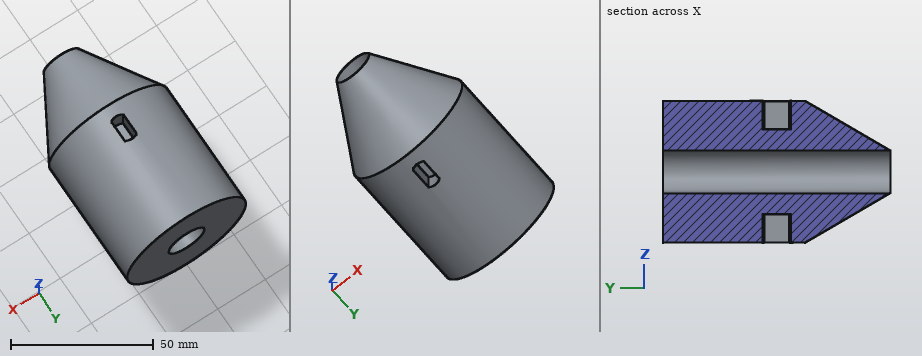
import cadquery as cq

total_length = 80.0
body_diameter = 50.0
body_length = 50.0
bore_diameter = 15.0
nose_length = total_length - body_length

slot_length = 10.0
slot_width = 5.0
slot_depth = 10.0
slot_offset = 10.0

body_radius = body_diameter / 2
bore_radius = bore_diameter / 2
slot_y = nose_length + slot_offset


def make_body():
    """Cylinder with a conical nose that tapers to the edge of the through bore."""
    section = (
        cq.Workplane("XY")
        .moveTo(bore_radius, 0)
        .lineTo(body_radius, nose_length)
        .lineTo(body_radius, total_length)
        .lineTo(bore_radius, total_length)
        .close()
    )
    return section.revolve(360, (0, 0, 0), (0, 1, 0))


def make_slot_cutter():
    """Flat-sided cutter with rounded ends, sunk into the +Z side."""
    floor = cq.Workplane("XY", origin=(0, slot_y, body_radius - slot_depth))
    round_pocket = floor.circle(slot_length / 2).extrude(slot_depth)
    flat_sides = floor.rect(slot_width, slot_length).extrude(slot_depth)
    return round_pocket.intersect(flat_sides)


upper_slot = make_slot_cutter()
lower_slot = upper_slot.mirror("XY")
result = make_body().cut(upper_slot).cut(lower_slot)